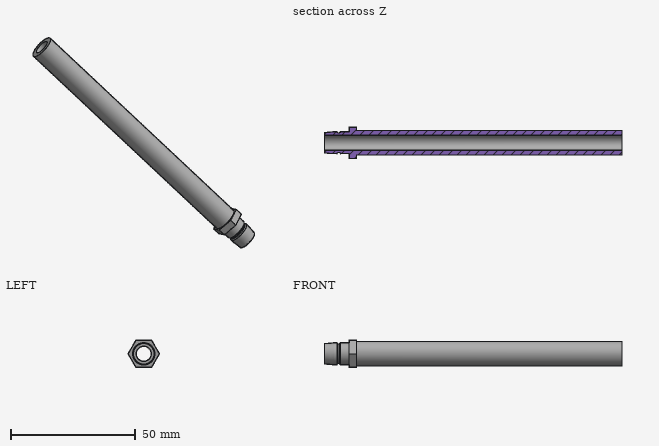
import cadquery as cq
import math

total_length = 120.0
tube_diameter = 10.0
bore_diameter = 6.0

hex_sides = 6
hex_across_flats = 11.0
hex_across_corners = hex_across_flats / math.cos(math.pi / hex_sides)
hex_start = 10.0
hex_width = 3.0

nose_diameter = 9.0
tip_diameter = 8.3
taper_length = 4.0
front_land_width = 1.0

groove_depth = 0.5
groove_floor_width = 0.5


def make_nose():
    """Tapered tip, front land, groove and rear land, revolved about the X axis."""
    nose_radius = nose_diameter / 2
    groove_radius = nose_radius - groove_depth
    groove_start = taper_length + front_land_width
    floor_start = groove_start + groove_depth
    floor_end = floor_start + groove_floor_width
    groove_end = floor_end + groove_depth
    profile = (
        cq.Workplane("XY")
        .moveTo(0, 0)
        .lineTo(0, tip_diameter / 2)
        .lineTo(taper_length, nose_radius)
        .lineTo(groove_start, nose_radius)
        .lineTo(floor_start, groove_radius)
        .lineTo(floor_end, groove_radius)
        .lineTo(groove_end, nose_radius)
        .lineTo(hex_start, nose_radius)
        .lineTo(hex_start, 0)
        .close()
    )
    return profile.revolve(360, (0, 0, 0), (1, 0, 0))


def make_hex_collar():
    """Hexagon with flats facing +Z and -Z and corners on the Y axis."""
    return (
        cq.Workplane("YZ", origin=(hex_start, 0, 0))
        .polygon(hex_sides, hex_across_corners)
        .extrude(hex_width)
    )


def make_tube():
    """Plain round tube body behind the collar."""
    tube_start = hex_start + hex_width
    return (
        cq.Workplane("YZ", origin=(tube_start, 0, 0))
        .circle(tube_diameter / 2)
        .extrude(total_length - tube_start)
    )


def make_bore():
    """Through bore along the full length."""
    return cq.Workplane("YZ").circle(bore_diameter / 2).extrude(total_length)


result = make_nose().union(make_hex_collar()).union(make_tube()).cut(make_bore())